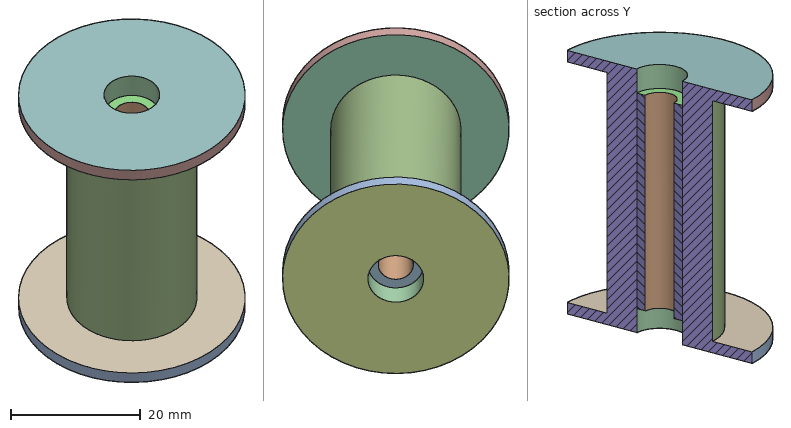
import cadquery as cq

spool_height = 44.0
flange_diameter = 35.0
flange_thickness = 2.0
core_diameter = 20.1
spool_bore_diameter = 8.6

sleeve_bore_diameter = 5.4
sleeve_recess = 4.0
sleeve_length = spool_height - 2 * sleeve_recess


def make_disc(diameter, bottom, height):
    """Solid cylinder on the Z axis, rising from the given bottom height."""
    return cq.Workplane("XY", origin=(0, 0, bottom)).circle(diameter / 2).extrude(height)


def make_spool():
    """Core with a flange at each end, bored right through."""
    spool = make_disc(core_diameter, 0, spool_height)
    for flange_bottom in (0, spool_height - flange_thickness):
        spool = spool.union(make_disc(flange_diameter, flange_bottom, flange_thickness))
    return spool.cut(make_disc(spool_bore_diameter, 0, spool_height))


def make_sleeve():
    """Tube that fills the spool bore and stops short of both flange faces."""
    sleeve = make_disc(spool_bore_diameter, sleeve_recess, sleeve_length)
    return sleeve.cut(make_disc(sleeve_bore_diameter, sleeve_recess, sleeve_length))


spool = make_spool()
sleeve = make_sleeve()

result = cq.Compound.makeCompound([spool.val(), sleeve.val()])